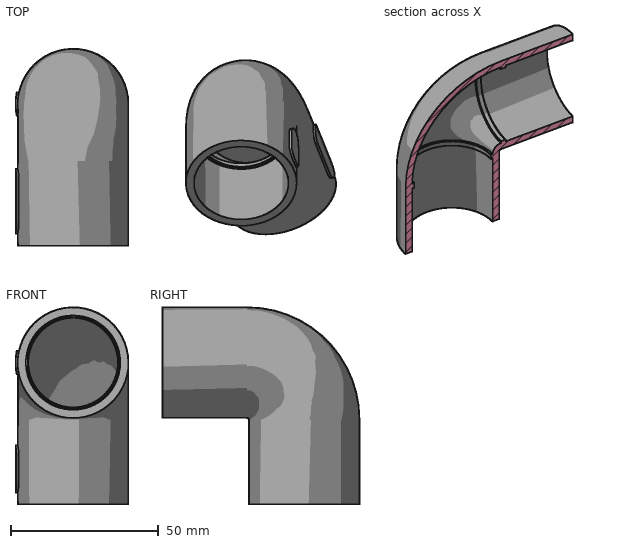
import cadquery as cq

overall = 66.75
outer_dia = 37.5
arm_length = 28.7

bore_dia = 32.0

rib_crown_dia = 30.3
rib_width = 2.0
rib_chamfer = 0.3

pad_height = 0.75
pad_width = 8.0
front_pad_length = 22.0
front_pad_setback = 15.1
lower_pad_length = 16.0
lower_pad_setback = 12.0

outer_radius = outer_dia / 2
arm_reach = overall - outer_radius
bend_radius = arm_reach - arm_length


def on_front_arm(shape):
    """Turn a shape built along -Z so that it lies along -Y."""
    return shape.rotate((0, 0, 0), (1, 0, 0), -90)


def bend(diameter):
    """Round quarter bend joining the inner ends of the two arms."""
    return (
        cq.Workplane("XY", origin=(0, 0, -bend_radius))
        .circle(diameter / 2)
        .revolve(90, (0, -bend_radius), (1, -bend_radius))
    )


def arm_cylinder(diameter, length):
    """Cylinder on the -Z axis, from the open end inward."""
    return cq.Workplane("XY", origin=(0, 0, -arm_reach)).circle(diameter / 2).extrude(length)


def arm_cavity():
    """Bore of the arm along -Z, narrowed by the stop rib."""
    rib_start = arm_length - rib_width
    bore = arm_cylinder(bore_dia, arm_length)
    rib = (
        cq.Workplane("XY", origin=(0, 0, rib_start - arm_reach))
        .circle(bore_dia / 2)
        .circle(rib_crown_dia / 2)
        .extrude(rib_width)
    )
    crown_edge = rib.faces("<Z").edges(cq.selectors.RadiusNthSelector(0))
    return bore.cut(crown_edge.chamfer(rib_chamfer))


def pad(length, setback):
    """Raised pad on the -X side of the arm along -Z, its face concentric with the pipe."""
    face_dia = outer_dia + 2 * pad_height
    mid_wall_dia = (outer_dia + bore_dia) / 2
    shell = arm_cylinder(face_dia, arm_length).cut(arm_cylinder(mid_wall_dia, arm_length))
    outline = (
        cq.Workplane("YZ", origin=(0, 0, setback - arm_reach))
        .slot2D(length, pad_width, 90)
        .extrude(-face_dia)
    )
    return outline.intersect(shell)


arm = arm_cylinder(outer_dia, arm_length)
cavity = arm_cavity()

body = bend(outer_dia).union(arm).union(on_front_arm(arm))
body = body.union(pad(lower_pad_length, lower_pad_setback))
body = body.union(on_front_arm(pad(front_pad_length, front_pad_setback)))

result = body.cut(bend(bore_dia)).cut(cavity).cut(on_front_arm(cavity))